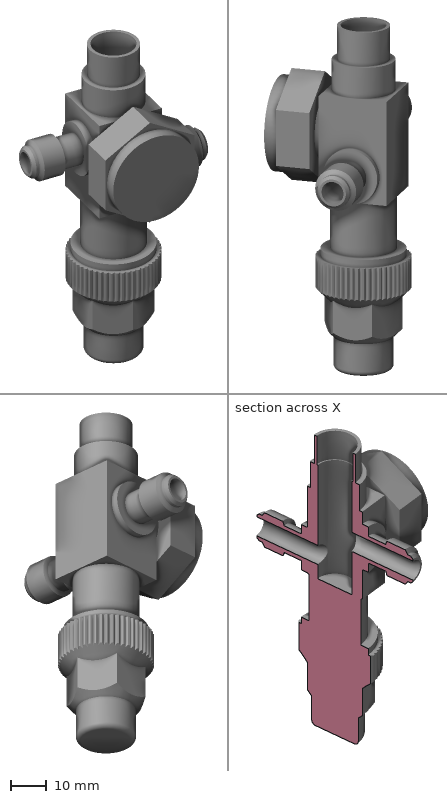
import cadquery as cq
import math


total_height = 101.0
spigot_top = 9.7
knurl_bottom = 24.2
knurl_top = 33.3
flange_top = 35.6
block_bottom = 51.6
block_top = 82.1
collar_top = 91.1

spigot_radius = 8.5
knurl_radius = 13.5
flange_radius = 12.1
stem_radius = 9.4
collar_radius = 9.0
tube_radius = 7.5
spigot_round = 1.5

stem_hex_flats = 19.9
stem_hex_corner_diameter = stem_hex_flats * 2 / math.sqrt(3)

groove_count = 52
groove_width = 1.1
groove_depth = 0.6

block_width = 20.0
block_half = block_width / 2

socket_radius = 6.5
bore_radius = 6.1

outlet_height = 69.9
neck_radius = 9.5
nut_start = 11.4
nut_end = 21.3
nut_flats = 28.5
nut_corner_diameter = nut_flats * 2 / math.sqrt(3)
cap_end = 24.9
cap_radius = 13.7

front_port_height = outlet_height
back_port_height = 59.8
port_flange_end = 12.1
port_head_under_start = 18.2
port_head_start = 18.7
port_head_end = 25.4
port_head_cone_end = 26.3
port_tip_chamfer_start = 27.3
port_tip = 28.2
port_flange_radius = 8.0
port_shank_radius = 4.7
port_head_radius = 6.1
port_tip_radius = 3.9
port_hole_radius = 3.2


def cylinder(radius, bottom, top):
    return cq.Workplane("XY").workplane(offset=bottom).circle(radius).extrude(top - bottom)


def turned_stem(profile):
    """Solid of revolution about Z from (radius, height) corners."""
    return cq.Workplane("XZ").polyline(profile).close().revolve(360, (0, 0, 0), (0, 1, 0))


def knurled_ring():
    """Ring with V grooves, its underside turned to a 45 degree cone that runs down into the hexagon."""
    cone_bottom = knurl_bottom - (knurl_radius - spigot_radius)
    ring = turned_stem([
        (0, knurl_top),
        (knurl_radius, knurl_top),
        (knurl_radius, knurl_bottom),
        (spigot_radius, cone_bottom),
        (0, cone_bottom),
    ])
    open_radius = knurl_radius + groove_depth
    groove = (
        cq.Workplane("XY")
        .workplane(offset=knurl_bottom - groove_depth)
        .moveTo(-knurl_radius + groove_depth, 0)
        .lineTo(-open_radius, groove_width)
        .lineTo(-open_radius, -groove_width)
        .close()
        .extrude(knurl_top - knurl_bottom + groove_depth)
    )
    for index in range(groove_count):
        ring = ring.cut(groove.rotate((0, 0, 0), (0, 0, 1), index * 360 / groove_count))
    return ring


def stem_hexagon():
    """Hexagon whose lower corners are turned to a 45 degree cone growing from the spigot."""
    hexagon = (
        cq.Workplane("XY")
        .workplane(offset=spigot_top)
        .polygon(6, stem_hex_corner_diameter)
        .extrude(knurl_bottom - spigot_top)
    )
    turned_limit = turned_stem([
        (0, spigot_top),
        (spigot_radius, spigot_top),
        (knurl_radius, spigot_top + knurl_radius - spigot_radius),
        (knurl_radius, knurl_bottom),
        (0, knurl_bottom),
    ])
    return hexagon.intersect(turned_limit)


def stem_lower_end():
    """Spigot with a rounded end, hexagon and knurled ring."""
    spigot = cylinder(spigot_radius, 0, spigot_top).faces("<Z").edges().fillet(spigot_round)
    return spigot.union(stem_hexagon()).union(knurled_ring())


def stem_upper_end():
    """Flange, lower stem, square block, collar and top tube."""
    block = (
        cq.Workplane("XY")
        .workplane(offset=block_bottom)
        .rect(block_width, block_width)
        .extrude(block_top - block_bottom)
    )
    return (
        cylinder(flange_radius, knurl_top, flange_top)
        .union(cylinder(stem_radius, flange_top, block_bottom))
        .union(block)
        .union(cylinder(collar_radius, block_top, collar_top))
        .union(cylinder(tube_radius, collar_top, total_height))
    )


def stem_bore():
    """Blind bore to the block's lower face, opened out as a socket in the top tube."""
    return cylinder(bore_radius, block_bottom, collar_top).union(
        cylinder(socket_radius, collar_top, total_height)
    )


def capped_outlet():
    """Neck, hexagon nut with corners up and down, and round end cap."""
    side = cq.Workplane("YZ", origin=(0, 0, outlet_height))
    neck = side.workplane(offset=block_half).circle(neck_radius).extrude(nut_start - block_half)
    nut = (
        side.workplane(offset=nut_start)
        .transformed(rotate=(0, 0, 90))
        .polygon(6, nut_corner_diameter)
        .extrude(nut_end - nut_start)
    )
    cap = side.workplane(offset=nut_end).circle(cap_radius).extrude(cap_end - nut_end)
    return neck.union(nut).union(cap)


def hose_port(height, direction):
    """Turned port leaving the block along Y; direction is -1 or +1."""
    profile = [
        (0, block_half),
        (port_flange_radius, block_half),
        (port_flange_radius, port_flange_end),
        (port_shank_radius, port_flange_end),
        (port_shank_radius, port_head_under_start),
        (port_head_radius, port_head_start),
        (port_head_radius, port_head_end),
        (port_shank_radius, port_head_cone_end),
        (port_shank_radius, port_tip_chamfer_start),
        (port_tip_radius, port_tip),
        (0, port_tip),
    ]
    points = [(radius, direction * reach) for radius, reach in profile]
    port = cq.Workplane("XY").polyline(points).close().revolve(360, (0, 0, 0), (0, 1, 0))
    return port.translate((0, 0, height))


def port_hole(height, direction):
    """Round hole from the port tip to the stem axis."""
    hole = cq.Workplane("XZ").circle(port_hole_radius).extrude(-direction * port_tip)
    return hole.translate((0, 0, height))


ports = [(front_port_height, -1), (back_port_height, 1)]

result = stem_lower_end().union(stem_upper_end()).union(capped_outlet())
for port_height, port_direction in ports:
    result = result.union(hose_port(port_height, port_direction))

result = result.cut(stem_bore())
for port_height, port_direction in ports:
    result = result.cut(port_hole(port_height, port_direction))